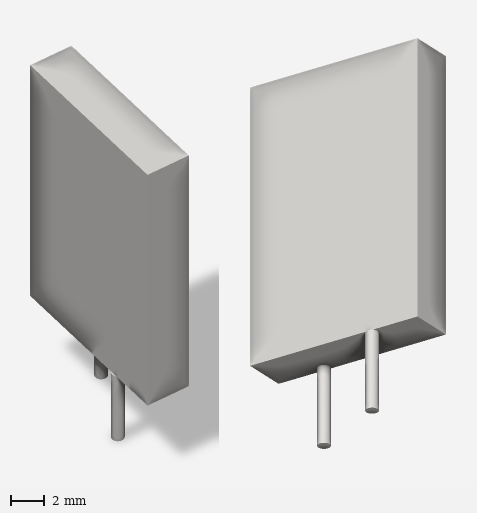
import cadquery as cq

total_height = 23.4

housing_width = 12.0
housing_depth = 3.0

pin_diameter = 0.82
pin_length = 5.12
pin_spacing_x = 5.08
pin_span_y = 3.2

housing_height = total_height - pin_length
pin_spacing_y = pin_span_y - pin_diameter

pin_centers = [
    (-pin_spacing_x / 2, pin_spacing_y / 2),
    (pin_spacing_x / 2, -pin_spacing_y / 2),
]


def make_housing():
    """Block centred on the Z axis with its underside at Z = 0."""
    return cq.Workplane("XY").box(
        housing_width, housing_depth, housing_height, centered=(True, True, False)
    )


def make_pin(center):
    """Round pin whose top end touches the underside of the housing."""
    return cq.Workplane("XY").center(*center).circle(pin_diameter / 2).extrude(-pin_length)


housing = make_housing()
pins = [make_pin(center) for center in pin_centers]

result = cq.Compound.makeCompound([housing.val(), *[pin.val() for pin in pins]])